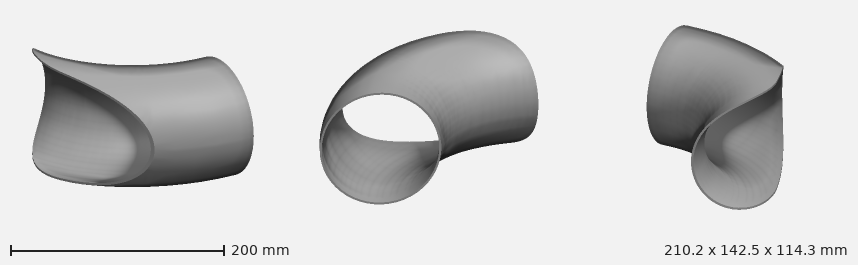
import cadquery as cq

pipe_diameter = 114.3
wall = 2.0
outer_reach = 210.2
bend_angle = 90.0
trim_joint_x = 91.8
trim_margin = 21.0

pipe_radius = pipe_diameter / 2
bend_radius = outer_reach - pipe_radius
throat_radius = bend_radius - pipe_radius


def saddle_y(x):
    """Plan curve where the elbow meets an equal straight pipe running along X: a parabola."""
    return x**2 / (4 * bend_radius) - bend_radius


def saddle_slope(x):
    """Slope of the saddle curve at x."""
    return x / (2 * bend_radius)


def make_elbow():
    """Revolve the pipe ring from the +X side round to the -Y side."""
    return (
        cq.Workplane("XZ")
        .center(bend_radius, 0)
        .circle(pipe_radius)
        .circle(pipe_radius - wall)
        .revolve(bend_angle, (-bend_radius, 0), (-bend_radius, -1))
    )


def make_trim_tool():
    """Vertical prism on the -Y side of the trim line: the saddle parabola, then an arc tangent to it."""
    far = outer_reach + trim_margin
    start = (outer_reach, saddle_y(outer_reach))
    joint = (trim_joint_x, saddle_y(trim_joint_x))
    control_x = (start[0] + joint[0]) / 2
    control = (control_x, joint[1] + saddle_slope(joint[0]) * (control_x - joint[0]))
    return (
        cq.Workplane("XY")
        .moveTo(far, start[1])
        .lineTo(*start)
        .bezier([control, joint], includeCurrent=True)
        .tangentArcPoint((0, -throat_radius), relative=False)
        .lineTo(-trim_margin, -throat_radius)
        .lineTo(-trim_margin, -far)
        .lineTo(far, -far)
        .close()
        .extrude(pipe_radius + trim_margin, both=True)
    )


result = make_elbow().cut(make_trim_tool())